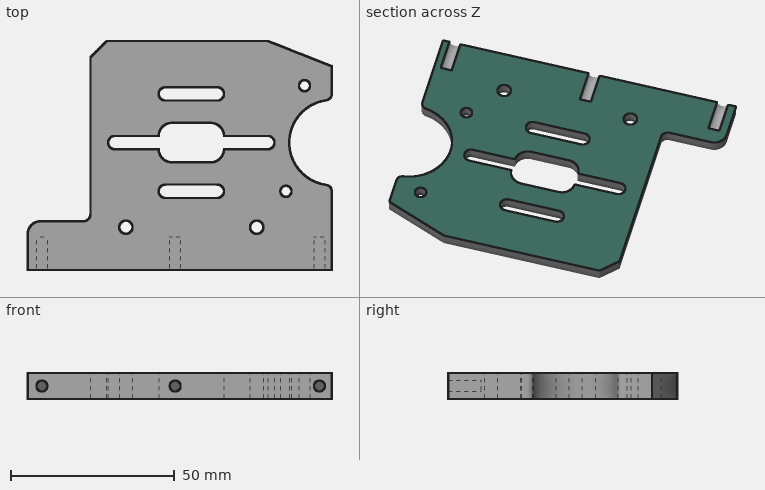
import cadquery as cq
import math

length = 93.0
width = 70.0
thickness = 8.0

foot_length = 19.2
foot_depth = 15.0
foot_corner_radius = 4.0
inner_corner_radius = 2.0
left_chamfer = 5.0
slope_start_x = 73.5
slope_end_y = 62.3

bite_radius = 13.0
bite_lip_radius = 2.0

slot_center_x = 50.0
slot_center_y = 39.0
slot_width = 4.0
long_slot_length = 50.8
short_slot_length = 19.9
short_slot_offset = 14.9
window_height = 3 * slot_width
window_corner_radius = 4.0

small_hole_diameter = 3.35
small_holes = [(84.6, 56.4), (79.0, slot_center_y - short_slot_offset)]
large_hole_diameter = 4.0
large_hole_spacing = 40.0
large_hole_y = 13.1
edge_hole_diameter = 3.35
edge_hole_depth = 10.0
edge_hole_positions_x = [4.4, 45.1, 89.2]


def make_plate():
    """Extrude the outline, with rounded lips where the bite meets the right edge."""
    lip_center_x = length - bite_lip_radius
    lip_offset = math.sqrt((bite_radius + bite_lip_radius) ** 2 - bite_lip_radius**2)
    touch_ratio = bite_radius / (bite_radius + bite_lip_radius)
    touch_x = length - bite_lip_radius * touch_ratio
    touch_offset = lip_offset * touch_ratio
    touch_angle = math.atan2(lip_offset, -bite_lip_radius) - math.pi
    middle_angle = touch_angle / 2
    lip_middle_x = lip_center_x + bite_lip_radius * math.cos(middle_angle)
    lip_middle_offset = lip_offset + bite_lip_radius * math.sin(middle_angle)

    outline = (
        cq.Workplane("XY")
        .lineTo(length, 0)
        .lineTo(length, slot_center_y - lip_offset)
        .threePointArc(
            (lip_middle_x, slot_center_y - lip_middle_offset),
            (touch_x, slot_center_y - touch_offset),
        )
        .threePointArc(
            (length - bite_radius, slot_center_y),
            (touch_x, slot_center_y + touch_offset),
        )
        .threePointArc(
            (lip_middle_x, slot_center_y + lip_middle_offset),
            (length, slot_center_y + lip_offset),
        )
        .lineTo(length, slope_end_y)
        .lineTo(slope_start_x, width)
        .lineTo(foot_length + left_chamfer, width)
        .lineTo(foot_length, width - left_chamfer)
        .lineTo(foot_length, foot_depth + inner_corner_radius)
        .radiusArc((foot_length - inner_corner_radius, foot_depth), inner_corner_radius)
        .lineTo(foot_corner_radius, foot_depth)
        .radiusArc((0, foot_depth - foot_corner_radius), -foot_corner_radius)
        .close()
    )
    return outline.extrude(thickness)


def make_slot(slot_length, center_y):
    """Through slot along X with round ends."""
    return (
        cq.Workplane("XY")
        .center(slot_center_x, center_y)
        .slot2D(slot_length, slot_width)
        .extrude(thickness)
    )


def make_window():
    """Rounded rectangular opening across the long slot."""
    return (
        cq.Workplane("XY")
        .center(slot_center_x, slot_center_y)
        .rect(short_slot_length, window_height)
        .extrude(thickness)
        .edges("|Z")
        .fillet(window_corner_radius)
    )


def make_through_holes(positions, diameter):
    return cq.Workplane("XY").pushPoints(positions).circle(diameter / 2).extrude(thickness)


def make_edge_holes():
    """Blind holes into the front edge, halfway up the thickness."""
    positions = [(x, thickness / 2) for x in edge_hole_positions_x]
    return (
        cq.Workplane("XZ")
        .pushPoints(positions)
        .circle(edge_hole_diameter / 2)
        .extrude(-edge_hole_depth)
    )


large_holes = [
    (slot_center_x + side * large_hole_spacing / 2, large_hole_y) for side in (-1, 1)
]

result = make_plate()
result = result.cut(make_slot(long_slot_length, slot_center_y))
result = result.cut(make_window())
for side in (-1, 1):
    result = result.cut(make_slot(short_slot_length, slot_center_y + side * short_slot_offset))
result = result.cut(make_through_holes(small_holes, small_hole_diameter))
result = result.cut(make_through_holes(large_holes, large_hole_diameter))
result = result.cut(make_edge_holes())